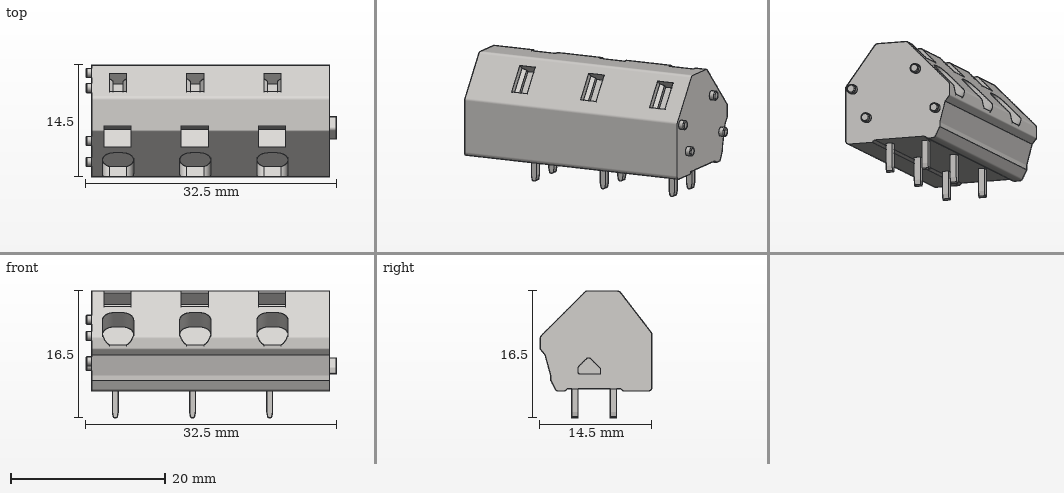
import cadquery as cq
import math


TOTAL_LENGTH = 32.5
PEG_LENGTH = 0.75
KEY_LENGTH = 0.88
HOUSING_LENGTH = TOTAL_LENGTH - PEG_LENGTH - KEY_LENGTH
HOUSING_DEPTH = 14.5
HOUSING_HEIGHT = 13.0
PIN_DROP = 3.48

POLE_COUNT = 3
POLE_PITCH = 10.0
FIRST_POLE_X = 3.45
POLE_XS = [FIRST_POLE_X + i * POLE_PITCH for i in range(POLE_COUNT)]

NOSE_TOP_Z = 7.05
NOSE_BOTTOM_Z = 5.45
NOSE_UNDERCUT = (0.62, 4.7)
FRONT_WALL_Y = 1.35
FRONT_WALL_Z = (1.4, 1.98)
FRONT_FOOT_Y = 2.08
WIRE_FACE_TOP_Y = HOUSING_HEIGHT - NOSE_TOP_Z
BACK_FACE_TOP_Y = 10.27
BACK_FACE_BOTTOM_Z = 7.5
RECESS_HEIGHT = 0.3
RECESS_SLOPE_RUN = 0.35
RECESS_FRONT_Y = 3.2
RECESS_BACK_Y = 10.8

NOSE_TOP_RADIUS = 0.55
NOSE_BOTTOM_RADIUS = 0.3
WIRE_FACE_TOP_RADIUS = 0.3
BACK_FACE_TOP_RADIUS = 0.65
BACK_FACE_BOTTOM_RADIUS = 0.5
FOOT_RADIUS = 0.5

ENTRY_WIDTH = 4.05
ENTRY_TOP = 4.42
ENTRY_BOTTOM = -0.75
ENTRY_RADIUS = 1.43
ENTRY_BOTTOM_TRIM = 0.1
ENTRY_DEPTH = 2.63

WINDOW_X_OFFSET = -0.05
WINDOW_WIDTH = 3.55
WINDOW_LIP = (3.9, 10.95)
WINDOW_FLOOR_FRONT = (6.1, 9.7)
WINDOW_FLOOR_RISE = 1.55
WINDOW_CHAMFER = 0.3
WINDOW_BACK_Y = 6.6

TEST_FRONT_Y = 11.05
TEST_BACK_Y = 13.4
TEST_WIDTH = 2.25
TEST_FLOOR_WIDTH = 1.27
TEST_MOUTH_DEPTH = 0.8
TEST_FUNNEL_DEPTH = 0.45
TEST_DEPTH = 1.72

PEG_DIAMETER = 1.2
PEG_CHAMFER = 0.13
PEG_CENTRES = [(4.65, 9.25), (13.45, 7.15), (11.5, 3.25), (1.92, 3.87)]

KEY_FRONT_Y = 4.9
KEY_BACK_Y = 7.8
KEY_BOTTOM_Z = 2.25
KEY_APEX = (6.27, 4.5)
KEY_TOP_RADIUS = 0.42
KEY_FRONT_RADIUS = 0.4
KEY_BOTTOM_RADIUS = 0.2

PIN_X_OFFSET = -0.35
PIN_WIDTH = 0.78
PIN_DEPTH = 0.85
PIN_CENTRE_YS = (4.5, 9.5)
TAPER_LENGTH = 0.6
TIP_LENGTH = 0.15
TIP_WIDTH = 0.55

CUT_CLEARANCE = 1.62


def round_edge(body, x, corner, radius):
    """Rounds the edge along X whose middle is at the given x and (y, z) corner."""
    return body.edges(cq.NearestToPointSelector((x, *corner))).fillet(radius)


def make_housing_block():
    nose_top = (0, NOSE_TOP_Z)
    nose_bottom = (0, NOSE_BOTTOM_Z)
    wire_face_top = (WIRE_FACE_TOP_Y, HOUSING_HEIGHT)
    back_face_top = (BACK_FACE_TOP_Y, HOUSING_HEIGHT)
    back_face_bottom = (HOUSING_DEPTH, BACK_FACE_BOTTOM_Z)
    back_foot = (HOUSING_DEPTH, 0)
    front_foot = (FRONT_FOOT_Y, 0)
    outline = [
        nose_top,
        wire_face_top,
        back_face_top,
        back_face_bottom,
        back_foot,
        (RECESS_BACK_Y, 0),
        (RECESS_BACK_Y - RECESS_SLOPE_RUN, RECESS_HEIGHT),
        (RECESS_FRONT_Y + RECESS_SLOPE_RUN, RECESS_HEIGHT),
        (RECESS_FRONT_Y, 0),
        front_foot,
        (FRONT_WALL_Y, FRONT_WALL_Z[0]),
        (FRONT_WALL_Y, FRONT_WALL_Z[1]),
        NOSE_UNDERCUT,
        nose_bottom,
    ]
    block = cq.Workplane("YZ").polyline(outline).close().extrude(HOUSING_LENGTH)
    roundings = [
        (nose_top, NOSE_TOP_RADIUS),
        (nose_bottom, NOSE_BOTTOM_RADIUS),
        (wire_face_top, WIRE_FACE_TOP_RADIUS),
        (back_face_top, BACK_FACE_TOP_RADIUS),
        (back_face_bottom, BACK_FACE_BOTTOM_RADIUS),
        (back_foot, FOOT_RADIUS),
        (front_foot, FOOT_RADIUS),
    ]
    for corner, radius in roundings:
        block = round_edge(block, HOUSING_LENGTH / 2, corner, radius)
    return block


def make_wire_entry(pole_x):
    """Cutter for one wire entry: a rounded slot sunk square into the wire face."""
    face = cq.Plane(origin=(pole_x, 0, NOSE_TOP_Z), xDir=(1, 0, 0), normal=(0, -1, 1))
    slot_bottom = ENTRY_BOTTOM - ENTRY_BOTTOM_TRIM
    slot_length = ENTRY_TOP - slot_bottom
    slot = (
        cq.Workplane(face)
        .workplane(offset=-ENTRY_DEPTH)
        .center(0, slot_bottom + slot_length / 2)
        .rect(ENTRY_WIDTH, slot_length)
        .extrude(ENTRY_DEPTH + CUT_CLEARANCE)
        .edges(cq.ParallelDirSelector(face.zDir))
        .fillet(ENTRY_RADIUS)
    )
    kept_length = ENTRY_TOP - ENTRY_BOTTOM
    kept = (
        cq.Workplane(face)
        .workplane(offset=-ENTRY_DEPTH)
        .center(0, ENTRY_BOTTOM + kept_length / 2)
        .rect(ENTRY_WIDTH, kept_length)
        .extrude(ENTRY_DEPTH + CUT_CLEARANCE)
    )
    return slot.intersect(kept)


def make_window(window_x):
    """Cutter for one release window, a straight run of the tapered section along X."""
    floor_y, floor_z = WINDOW_FLOOR_FRONT
    lip_y, lip_z = WINDOW_LIP
    section = [
        WINDOW_LIP,
        WINDOW_FLOOR_FRONT,
        (floor_y + WINDOW_FLOOR_RISE, floor_z + WINDOW_FLOOR_RISE),
        (WINDOW_BACK_Y - WINDOW_CHAMFER, HOUSING_HEIGHT - WINDOW_CHAMFER),
        (WINDOW_BACK_Y, HOUSING_HEIGHT),
        (WINDOW_BACK_Y, HOUSING_HEIGHT + CUT_CLEARANCE),
        (lip_y - CUT_CLEARANCE, lip_z + CUT_CLEARANCE),
    ]
    return (
        cq.Workplane("YZ", origin=(window_x, 0, 0))
        .polyline(section)
        .close()
        .extrude(WINDOW_WIDTH / 2, both=True)
    )


def make_test_pocket(pole_x):
    """Cutter for one test pocket: a mouth, a funnel on its two sides and a narrow floor."""
    face_run = HOUSING_DEPTH - BACK_FACE_TOP_Y
    face_drop = HOUSING_HEIGHT - BACK_FACE_BOTTOM_Z
    face_length = math.hypot(face_run, face_drop)
    middle_y = (TEST_FRONT_Y + TEST_BACK_Y) / 2
    middle_z = HOUSING_HEIGHT - (middle_y - BACK_FACE_TOP_Y) * face_drop / face_run
    pocket_length = (TEST_BACK_Y - TEST_FRONT_Y) * face_length / face_run
    across = cq.Plane(
        origin=(pole_x, middle_y, middle_z),
        xDir=(1, 0, 0),
        normal=(0, face_run, -face_drop),
    )
    half_mouth = TEST_WIDTH / 2
    half_floor = TEST_FLOOR_WIDTH / 2
    funnel_end = TEST_MOUTH_DEPTH + TEST_FUNNEL_DEPTH
    section = [
        (-half_mouth, -CUT_CLEARANCE),
        (half_mouth, -CUT_CLEARANCE),
        (half_mouth, TEST_MOUTH_DEPTH),
        (half_floor, funnel_end),
        (half_floor, TEST_DEPTH),
        (-half_floor, TEST_DEPTH),
        (-half_floor, funnel_end),
        (-half_mouth, TEST_MOUTH_DEPTH),
    ]
    return cq.Workplane(across).polyline(section).close().extrude(pocket_length / 2, both=True)


def make_pegs():
    return (
        cq.Workplane("YZ")
        .pushPoints(PEG_CENTRES)
        .circle(PEG_DIAMETER / 2)
        .extrude(-PEG_LENGTH)
        .faces("<X")
        .chamfer(PEG_CHAMFER)
    )


def make_key():
    """Gable-shaped key with 45 degree slopes either side of a rounded ridge."""
    apex_y, apex_z = KEY_APEX
    front_shoulder = (KEY_FRONT_Y, apex_z - (apex_y - KEY_FRONT_Y))
    back_shoulder = (KEY_BACK_Y, apex_z - (KEY_BACK_Y - apex_y))
    front_bottom = (KEY_FRONT_Y, KEY_BOTTOM_Z)
    outline = [KEY_APEX, back_shoulder, (KEY_BACK_Y, KEY_BOTTOM_Z), front_bottom, front_shoulder]
    key = (
        cq.Workplane("YZ", origin=(HOUSING_LENGTH, 0, 0))
        .polyline(outline)
        .close()
        .extrude(KEY_LENGTH)
    )
    roundings = [
        (KEY_APEX, KEY_TOP_RADIUS),
        (front_shoulder, KEY_FRONT_RADIUS),
        (front_bottom, KEY_BOTTOM_RADIUS),
    ]
    for corner, radius in roundings:
        key = round_edge(key, HOUSING_LENGTH + KEY_LENGTH / 2, corner, radius)
    return key


def make_housing():
    housing = make_housing_block().union(make_pegs()).union(make_key())
    for pole_x in POLE_XS:
        housing = housing.cut(make_wire_entry(pole_x))
        housing = housing.cut(make_window(pole_x + WINDOW_X_OFFSET))
        housing = housing.cut(make_test_pocket(pole_x))
    return housing


def make_pin(pin_x, centre_y):
    """Flat pin hanging from the underside recess, tapered to a rounded tip."""
    half_width = PIN_WIDTH / 2
    half_tip = TIP_WIDTH / 2
    tip_z = -PIN_DROP + TIP_LENGTH
    taper_z = tip_z + TAPER_LENGTH
    return (
        cq.Workplane("XZ", origin=(pin_x, centre_y, 0))
        .moveTo(-half_width, RECESS_HEIGHT)
        .lineTo(half_width, RECESS_HEIGHT)
        .lineTo(half_width, taper_z)
        .lineTo(half_tip, tip_z)
        .threePointArc((0, -PIN_DROP), (-half_tip, tip_z))
        .lineTo(-half_width, taper_z)
        .close()
        .extrude(PIN_DEPTH / 2, both=True)
    )


housing = make_housing()
pins = [make_pin(pole_x + PIN_X_OFFSET, y) for pole_x in POLE_XS for y in PIN_CENTRE_YS]

result = cq.Compound.makeCompound([housing.val(), *[pin.val() for pin in pins]])